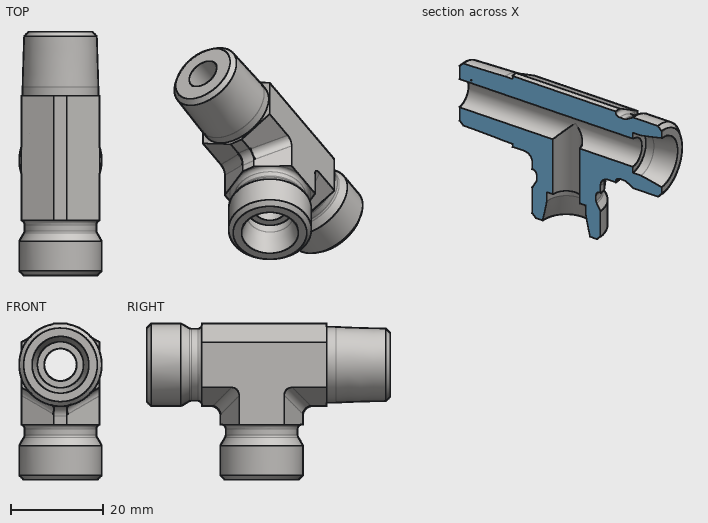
import cadquery as cq
import math


HEX_ACROSS_FLATS = 17.0
BODY_HEIGHT = 18.0
BODY_FRONT = 13.0
BODY_BACK = 14.1
CROTCH_RADIUS = 2.0
TOLERANCE = 0.005

ARM_LENGTH = 25.0
THREAD_DIAMETER = 18.0
THREAD_LENGTH = 7.45
THREAD_CONE_ANGLE = math.radians(30)
GROOVE_FILLET = 1.0
GROOVE_DIAMETER = 15.7
NECK_FLARE = 0.95
END_CHAMFER = 1.0

TOTAL_LENGTH = 53.0
TAPER_LARGE_DIAMETER = 16.55
TAPER_COLLAR_LENGTH = 1.95
TAPER_RATIO = 1 / 16

BORE_DIAMETER = 7.0
SOCKET_DIAMETER = 10.0
SOCKET_DEPTH = 7.5
MOUTH_DIAMETER = 12.35
MOUTH_HALF_ANGLE = math.radians(12)

half_width = HEX_ACROSS_FLATS / 2
half_height = BODY_HEIGHT / 2
side_corner = half_width * math.tan(math.radians(30))
crest_half_width = (2 * side_corner - half_height) / math.tan(math.radians(30))
taper_end = TOTAL_LENGTH - ARM_LENGTH


def hex_bar(plane, length):
    """Hexagonal bar with two flattened corners, extruded from a plane."""
    outline = [
        (half_width, -side_corner),
        (half_width, side_corner),
        (crest_half_width, half_height),
        (-crest_half_width, half_height),
        (-half_width, side_corner),
        (-half_width, -side_corner),
        (-crest_half_width, -half_height),
        (crest_half_width, -half_height),
    ]
    return cq.Workplane(plane).polyline(outline).close().extrude(length)


def revolve_about_z(profile):
    """Close a (radius, height) profile and turn it about the Z axis."""
    return profile.close().revolve(360, (0, 0, 0), (0, 1, 0))


def pointing_front(shape):
    """Swing a shape that points down the branch to the front of the run."""
    return shape.rotate((0, 0, 0), (1, 0, 0), -90)


def make_body():
    """Tee of two hexagonal bars with the crotch edges rounded."""
    run_plane = cq.Plane((0, BODY_BACK, 0), xDir=(1, 0, 0), normal=(0, -1, 0))
    run = hex_bar(run_plane, BODY_BACK + BODY_FRONT)
    branch = hex_bar("XY", -BODY_FRONT)
    body = run.union(branch)

    def in_crotch(edge):
        """Crotch edges lie on the two diagonal planes |y| = -z."""
        ends = (edge.startPoint(), edge.endPoint())
        return all(abs(abs(p.y) + p.z) < TOLERANCE for p in ends)

    crotch_edges = [edge for edge in body.edges().vals() if in_crotch(edge)]
    return body.newObject(crotch_edges).fillet(CROTCH_RADIUS)


def make_threaded_end():
    """Threaded end pointing along -Z, starting at the origin."""
    thread_radius = THREAD_DIAMETER / 2
    groove_radius = GROOVE_DIAMETER / 2
    thread_start = ARM_LENGTH - THREAD_LENGTH
    flare_end = BODY_FRONT + NECK_FLARE
    cone_length = (thread_radius - groove_radius) / math.tan(THREAD_CONE_ANGLE)
    groove_corner = -thread_start + cone_length
    half_angle = THREAD_CONE_ANGLE / 2
    tangent = GROOVE_FILLET * math.tan(half_angle)
    blend_start = (
        groove_radius + tangent * math.sin(THREAD_CONE_ANGLE),
        groove_corner - tangent * math.cos(THREAD_CONE_ANGLE),
    )
    blend_middle = (
        groove_radius + GROOVE_FILLET * (1 - math.cos(half_angle)),
        groove_corner + tangent - GROOVE_FILLET * math.sin(half_angle),
    )
    arc_offset = NECK_FLARE * (1 - math.sqrt(0.5))
    profile = (
        cq.Workplane("XZ")
        .lineTo(0, -ARM_LENGTH)
        .lineTo(thread_radius - END_CHAMFER, -ARM_LENGTH)
        .lineTo(thread_radius, -ARM_LENGTH + END_CHAMFER)
        .lineTo(thread_radius, -thread_start)
        .lineTo(*blend_start)
        .threePointArc(blend_middle, (groove_radius, groove_corner + tangent))
        .lineTo(groove_radius, -flare_end)
        .threePointArc(
            (groove_radius + arc_offset, -BODY_FRONT - arc_offset),
            (groove_radius + NECK_FLARE, -BODY_FRONT),
        )
        .lineTo(0, -BODY_FRONT)
    )
    envelope = hex_bar("XY", -flare_end)
    turned = revolve_about_z(profile)
    flare = turned.intersect(envelope)
    below_flare = cq.Workplane("XY", origin=(0, 0, -flare_end))
    beyond_flare = below_flare.circle(THREAD_DIAMETER).extrude(-ARM_LENGTH)
    return flare.union(turned.intersect(beyond_flare))


def make_tapered_end():
    """Tapered end with a short straight collar next to the body."""
    large_radius = TAPER_LARGE_DIAMETER / 2
    taper_start = BODY_BACK + TAPER_COLLAR_LENGTH
    taper_stop = taper_end - END_CHAMFER
    small_radius = large_radius - (taper_stop - taper_start) * TAPER_RATIO / 2
    return (
        cq.Workplane("XY")
        .lineTo(large_radius, 0)
        .lineTo(large_radius, taper_start)
        .lineTo(small_radius, taper_stop)
        .lineTo(small_radius - END_CHAMFER, taper_end)
        .lineTo(0, taper_end)
        .close()
        .revolve(360, (0, 0, 0), (0, 1, 0))
    )


def make_socket():
    """Tube socket with a conical mouth and the bore up to the origin."""
    bore_radius = BORE_DIAMETER / 2
    socket_radius = SOCKET_DIAMETER / 2
    mouth_radius = MOUTH_DIAMETER / 2
    mouth_depth = (mouth_radius - socket_radius) / math.tan(MOUTH_HALF_ANGLE)
    profile = (
        cq.Workplane("XZ")
        .lineTo(0, -ARM_LENGTH)
        .lineTo(mouth_radius, -ARM_LENGTH)
        .lineTo(socket_radius, -ARM_LENGTH + mouth_depth)
        .lineTo(socket_radius, -ARM_LENGTH + SOCKET_DEPTH)
        .lineTo(bore_radius, -ARM_LENGTH + SOCKET_DEPTH)
        .lineTo(bore_radius, 0)
    )
    return revolve_about_z(profile)


threaded_end = make_threaded_end()
socket = make_socket()
back_bore = cq.Workplane("XZ").circle(BORE_DIAMETER / 2).extrude(-taper_end)

result = (
    make_body()
    .union(threaded_end)
    .union(pointing_front(threaded_end))
    .union(make_tapered_end())
    .cut(socket)
    .cut(pointing_front(socket))
    .cut(back_bore)
)